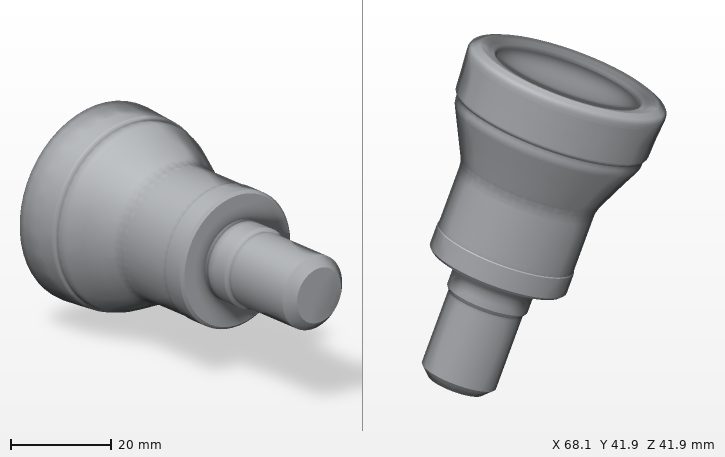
import cadquery as cq

LENGTH = 68.1

CAP_RADIUS = 20.95
CAP_RIM_RADIUS = 18.9
CAP_BEVEL_DEPTH = 0.55
CAP_BEVEL_RADIUS = 20.2
CAP_NOSE_END = 1.9
CAP_LAND_END = 2.5
CAP_TAPER_END = 10.35
CAP_TAIL_RADIUS = 20.4
CAP_END = 11.2
RIM_FLAT = 0.35
DISH_RADIUS = 17.5
DISH_DEPTH = 0.2
LIP_RADIUS = 16.05
LIP_DEPTH = 0.6
LIP_INNER_RADIUS = 15.45
LIP_INNER_DEPTH = 0.95
OPENING_RADIUS = 15.0

HEAD_FACE = 1.5
HEAD_RADIUS = 39.5 / 2
HEAD_END = 12.4
CONE_START = 13.6
CONE_START_RADIUS = 19.5
CONE_END = 23.4
CONE_END_RADIUS = 14.8

NECK_START = 26.1
NECK_RADIUS = 28.6 / 2
COLLAR_START = 38.0
COLLAR_RADIUS = 29.0 / 2
COLLAR_STEP = COLLAR_RADIUS - NECK_RADIUS
COLLAR_END = 43.15
COLLAR_CHAMFER = 0.6

SEAT_RADIUS = 17.0 / 2
UNDERCUT_BOTTOM = 43.55
UNDERCUT_DEPTH = 0.3
SEAT_START = 44.4
SEAT_END = 49.1
SHAFT_START = 49.95
SHAFT_RADIUS = 15.7 / 2
SHAFT_CHAMFER = 2.05


def turn(profile):
    """Revolve a closed (x, radius) profile about the X axis."""
    return profile.close().revolve(360, (0, 0, 0), (1, 0, 0))


def make_cap():
    lip_slope = (LIP_DEPTH - DISH_DEPTH, LIP_RADIUS - DISH_RADIUS)
    opening_slope = (HEAD_FACE - LIP_INNER_DEPTH, OPENING_RADIUS - LIP_INNER_RADIUS)
    bevel_slope = (CAP_BEVEL_DEPTH, CAP_BEVEL_RADIUS - CAP_RIM_RADIUS)
    taper_slope = (CAP_TAPER_END - CAP_LAND_END, CAP_TAIL_RADIUS - CAP_RADIUS)
    profile = (
        cq.Workplane("XY")
        .moveTo(DISH_DEPTH, DISH_RADIUS)
        .lineTo(0, CAP_RIM_RADIUS - RIM_FLAT)
        .lineTo(0, CAP_RIM_RADIUS)
        .lineTo(CAP_BEVEL_DEPTH, CAP_BEVEL_RADIUS)
        .spline([(CAP_NOSE_END, CAP_RADIUS)], tangents=[bevel_slope, (1, 0)], includeCurrent=True)
        .lineTo(CAP_LAND_END, CAP_RADIUS)
        .lineTo(CAP_TAPER_END, CAP_TAIL_RADIUS)
        .spline([(CAP_END, HEAD_RADIUS)], tangents=[taper_slope, (1, -1)], includeCurrent=True)
        .lineTo(HEAD_FACE, HEAD_RADIUS)
        .lineTo(HEAD_FACE, OPENING_RADIUS)
        .lineTo(LIP_INNER_DEPTH, LIP_INNER_RADIUS)
        .spline(
            [(LIP_DEPTH, LIP_RADIUS)],
            tangents=[(-opening_slope[0], -opening_slope[1]), (-lip_slope[0], -lip_slope[1])],
            includeCurrent=True,
        )
    )
    return turn(profile)


def make_knob():
    cone_slope = (CONE_END - CONE_START, CONE_END_RADIUS - CONE_START_RADIUS)
    profile = (
        cq.Workplane("XY")
        .moveTo(HEAD_FACE, 0)
        .lineTo(HEAD_FACE, HEAD_RADIUS)
        .lineTo(HEAD_END, HEAD_RADIUS)
        .tangentArcPoint((CONE_START, CONE_START_RADIUS), relative=False)
        .lineTo(CONE_END, CONE_END_RADIUS)
        .spline([(NECK_START, NECK_RADIUS)], tangents=[cone_slope, (1, 0)], includeCurrent=True)
        .lineTo(COLLAR_START, NECK_RADIUS)
        .lineTo(COLLAR_START + COLLAR_STEP, COLLAR_RADIUS)
        .lineTo(COLLAR_END - COLLAR_CHAMFER, COLLAR_RADIUS)
        .lineTo(COLLAR_END, COLLAR_RADIUS - COLLAR_CHAMFER)
        .lineTo(COLLAR_END, SEAT_RADIUS)
        .lineTo(UNDERCUT_BOTTOM, SEAT_RADIUS - UNDERCUT_DEPTH)
        .lineTo(SEAT_START, SEAT_RADIUS)
        .lineTo(SEAT_END, SEAT_RADIUS)
        .lineTo(SHAFT_START, SHAFT_RADIUS)
        .lineTo(LENGTH - SHAFT_CHAMFER, SHAFT_RADIUS)
        .lineTo(LENGTH, SHAFT_RADIUS - SHAFT_CHAMFER)
        .lineTo(LENGTH, 0)
    )
    return turn(profile)


cap = make_cap()
knob = make_knob()

result = cq.Compound.makeCompound([cap.val(), knob.val()])